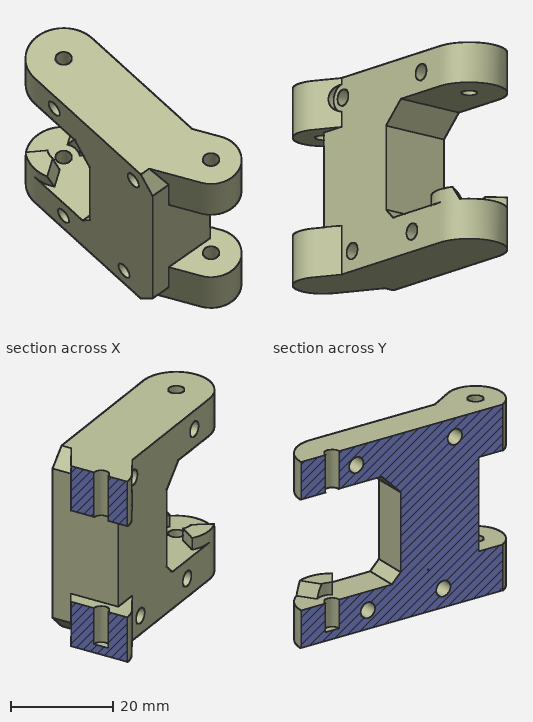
import cadquery as cq
import math

height = 40.14

arm_radius = 7.5
arm_height = 8.2
plate_right = 35.0
plate_corner_chamfer = 3.5
notch_right = 16.3
notch_upper_chamfer = 4.5
notch_lower_chamfer = 2.1

lug_x = 37.81
lug_y = 5.27
lug_radius = 6.0
lug_height = 10.0
link_angle = 30.0

pivot_diameter = 3.2
pivot_floor = 2.0

screw_diameter = 3.3
screw_head_diameter = 5.6
screw_center_x = 17.5
upper_screw_spacing = 23.5
lower_screw_spacing = 18.0

tooth_height = 2.64
tooth_inner_radius = 3.15
tooth_start_angle = 55.0
tooth_end_angle = 125.0
tooth_draft_angle = 30.0
tooth_count = 2


def make_body():
    """Rounded plate with chamfered right corners and the notch between the arms."""
    plate = (
        cq.Workplane("XY")
        .box(plate_right, 2 * arm_radius, height, centered=(False, True, False))
        .edges("|Y and >X")
        .chamfer(plate_corner_chamfer)
    )
    body = plate.union(cq.Workplane("XY").circle(arm_radius).extrude(height))

    notch_left = -2 * arm_radius
    notch_bottom = arm_height
    notch_top = height - arm_height
    notch = (
        cq.Workplane("XZ", origin=(0, arm_radius, 0))
        .moveTo(notch_left, notch_bottom)
        .lineTo(notch_right - notch_lower_chamfer, notch_bottom)
        .lineTo(notch_right, notch_bottom + notch_lower_chamfer)
        .lineTo(notch_right, notch_top - notch_upper_chamfer)
        .lineTo(notch_right - notch_upper_chamfer, notch_top)
        .lineTo(notch_left, notch_top)
        .close()
        .extrude(2 * arm_radius)
    )
    return body.cut(notch)


def make_lug(bottom_z):
    """Hinge lug with tangent link sides running back into the plate."""
    slope = math.tan(math.radians(link_angle))
    tangent_dx = lug_radius * math.sin(math.radians(link_angle))
    tangent_dy = lug_radius * math.cos(math.radians(link_angle))
    upper_tangent = (lug_x - tangent_dx, lug_y + tangent_dy)
    lower_tangent = (lug_x + tangent_dx, lug_y - tangent_dy)
    lug_tip = (lug_x + tangent_dy, lug_y + tangent_dx)

    chamfer_x = plate_right - plate_corner_chamfer
    link_start_x = upper_tangent[0] - (upper_tangent[1] - arm_radius) / slope
    lower_start_y = lower_tangent[1] - (lower_tangent[0] - chamfer_x) * slope
    return (
        cq.Workplane("XY", origin=(0, 0, bottom_z))
        .moveTo(*lower_tangent)
        .threePointArc(lug_tip, upper_tangent)
        .lineTo(link_start_x, arm_radius)
        .lineTo(notch_right, arm_radius)
        .lineTo(notch_right, -arm_radius)
        .lineTo(chamfer_x, -arm_radius)
        .lineTo(chamfer_x, lower_start_y)
        .close()
        .extrude(lug_height)
    )


def make_pivot_hole(x, y):
    """Vertical pivot hole, open at the top and closed by a floor at the bottom."""
    return (
        cq.Workplane("XY", origin=(x, y, pivot_floor))
        .circle(pivot_diameter / 2)
        .extrude(height - pivot_floor)
    )


def make_screw_cutter(x, z):
    """Screw hole along Y, with head clearance behind the back face of the plate."""
    hole = (
        cq.Workplane("XZ", origin=(x, arm_radius, z))
        .circle(screw_diameter / 2)
        .extrude(2 * arm_radius)
    )
    head_length = lug_y + lug_radius - arm_radius
    head = (
        cq.Workplane("XZ", origin=(x, arm_radius, z))
        .circle(screw_head_diameter / 2)
        .extrude(-head_length)
    )
    return hole.union(head)


def make_tooth():
    """Ring segment with one upright radial end and one end sloping inward."""
    ring = (
        cq.Workplane("XY", origin=(0, 0, arm_height))
        .circle(arm_radius)
        .circle(tooth_inner_radius)
        .extrude(tooth_height)
    )
    reach = 2 * arm_radius

    upright_side = (
        cq.Workplane("XY", origin=(0, 0, arm_height))
        .rect(2 * reach, reach)
        .extrude(tooth_height)
        .translate((0, reach / 2, 0))
        .rotate((0, 0, 0), (0, 0, 1), tooth_start_angle)
    )

    slope_offset = tooth_height * math.tan(math.radians(tooth_draft_angle))
    sloping_side = (
        cq.Workplane("YZ", origin=(-reach, 0, arm_height))
        .moveTo(0, 0)
        .lineTo(-slope_offset, tooth_height)
        .lineTo(-reach, tooth_height)
        .lineTo(-reach, 0)
        .close()
        .extrude(2 * reach)
        .rotate((0, 0, 0), (0, 0, 1), tooth_end_angle)
    )
    return ring.intersect(upright_side).intersect(sloping_side)


result = make_body()

for lug_bottom in (0, height - lug_height):
    result = result.union(make_lug(lug_bottom))

tooth = make_tooth()
for index in range(tooth_count):
    result = result.union(tooth.rotate((0, 0, 0), (0, 0, 1), index * 360 / tooth_count))

for pivot_x, pivot_y in ((0, 0), (lug_x, lug_y)):
    result = result.cut(make_pivot_hole(pivot_x, pivot_y))

screw_rows = (
    (lower_screw_spacing, arm_height / 2),
    (upper_screw_spacing, height - arm_height / 2),
)
for spacing, screw_z in screw_rows:
    for side in (-1, 1):
        screw_x = screw_center_x + side * spacing / 2
        result = result.cut(make_screw_cutter(screw_x, screw_z))